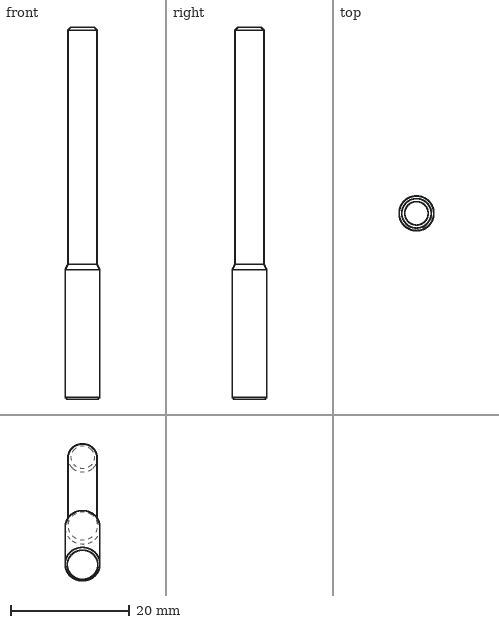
import cadquery as cq

total_length = 63.0

base_diameter = 5.9
base_length = 22.9
taper_length = 0.95
bottom_chamfer = 0.4

rod_diameter = 5.0
rod_length = total_length - base_length
rod_tip_chamfer = 0.5


def make_base():
    """Cylinder with a chamfered bottom edge and a conical shoulder at the top."""
    taper_width = (base_diameter - rod_diameter) / 2
    base = cq.Workplane("XY").circle(base_diameter / 2).extrude(base_length)
    base = base.faces("<Z").chamfer(bottom_chamfer)
    return base.faces(">Z").chamfer(taper_length, taper_width)


def make_rod():
    """Plain round rod with a chamfered tip, resting on the shoulder."""
    rod = (
        cq.Workplane("XY")
        .workplane(offset=base_length)
        .circle(rod_diameter / 2)
        .extrude(rod_length)
    )
    return rod.faces(">Z").chamfer(rod_tip_chamfer)


base = make_base()
rod = make_rod()

result = cq.Compound.makeCompound([base.val(), rod.val()])